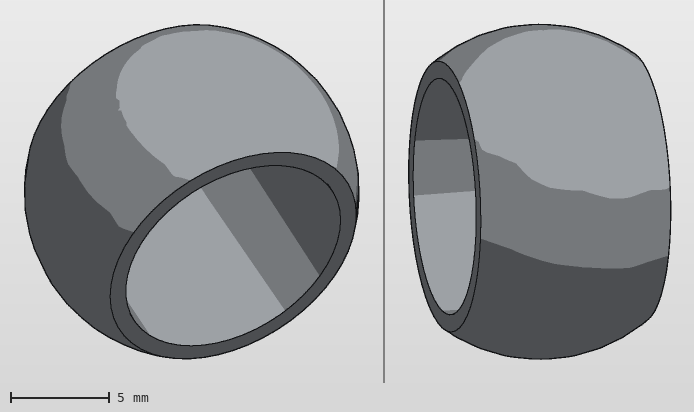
import cadquery as cq

ball_diameter = 17.0
width = 10.0
bore_diameter = 12.0

ball = cq.Workplane("XY").sphere(ball_diameter / 2)
slab = cq.Workplane("XY").box(width, ball_diameter, ball_diameter)
truncated_ball = ball.intersect(slab)

bore = cq.Workplane("YZ").circle(bore_diameter / 2).extrude(width / 2, both=True)

result = truncated_ball.cut(bore)